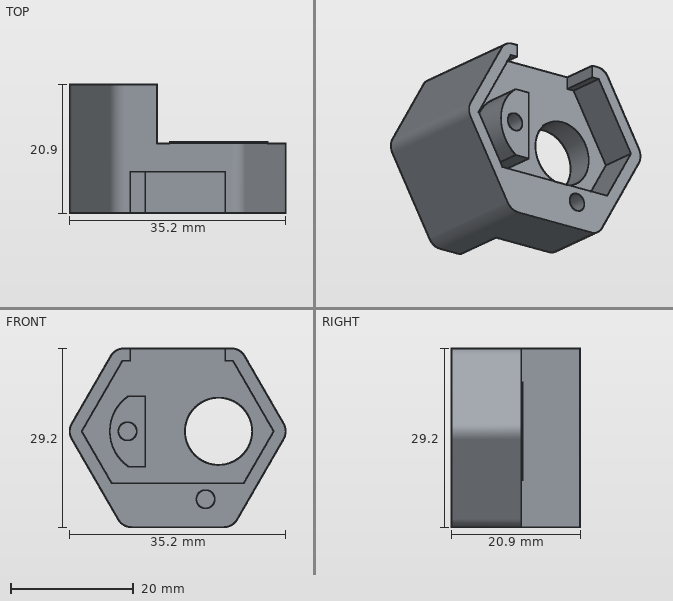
import cadquery as cq
import math

width = 35.2
top_z = 13.52
bottom_z = -15.65
corner_radius = 2.5
slab_depth = 11.37
full_depth = 20.95
tall_block_right_x = -3.35

cavity_depth = 6.73
cavity_half_width = 15.65
cavity_top_z = 11.48
cavity_bottom_z = -8.5
notch_half_width = 7.7

bore_x = 6.65
bore_diameter = 10.9
ring_diameter = 16.0
ring_height = 0.25

pad_left_x = -11.05
pad_right_x = -5.3
pad_half_height = 5.75
pad_arc_end_x = -8.03

screw_diameter = 3.0
screw_depth = 9.85
screw_positions = [(-8.17, 0.0), (4.55, -11.05)]

corner_loss = corner_radius * (1 / math.cos(math.radians(30)) - 1)
outer_half_width = width / 2 + corner_loss


def plane_at(y):
    """XZ sketch plane whose extrusions run toward +Y."""
    return cq.Workplane(cq.Plane((0, y, 0), xDir=(1, 0, 0), normal=(0, -1, 0)))


def hexagon(half_width, low_z, high_z, depth):
    """Prism with 60-degree sides, side corners at z = 0 and flat top and bottom."""
    slope = math.tan(math.radians(60))
    top_half = half_width - high_z / slope
    bottom_half = half_width + low_z / slope
    points = [
        (-half_width, 0),
        (-top_half, high_z),
        (top_half, high_z),
        (half_width, 0),
        (bottom_half, low_z),
        (-bottom_half, low_z),
    ]
    return plane_at(0).polyline(points).close().extrude(-depth)


def box(x_range, y_range, z_range):
    """Box given by its limits along each axis."""
    ranges = (x_range, y_range, z_range)
    sizes = [high - low for low, high in ranges]
    corner = [low for low, high in ranges]
    return cq.Workplane("XY").box(*sizes, centered=False).translate(tuple(corner))


def make_body():
    """Rounded hexagon, full depth on the left and a thinner slab on the right."""
    body = hexagon(outer_half_width, bottom_z, top_z, full_depth)
    body = body.edges("|Y").fillet(corner_radius)
    step = box(
        (tall_block_right_x, outer_half_width),
        (slab_depth, full_depth),
        (bottom_z, top_z),
    )
    return body.cut(step)


def make_cavity():
    """Hexagonal pocket, open through the top wall."""
    pocket = hexagon(cavity_half_width, cavity_bottom_z, cavity_top_z, cavity_depth)
    notch = box(
        (-notch_half_width, notch_half_width),
        (0, cavity_depth),
        (0, top_z),
    )
    return pocket.union(notch)


def make_pad():
    """Pad standing on the cavity floor, with a flat right side and a round left side."""
    return (
        plane_at(0)
        .moveTo(pad_right_x, -pad_half_height)
        .lineTo(pad_right_x, pad_half_height)
        .lineTo(pad_arc_end_x, pad_half_height)
        .threePointArc((pad_left_x, 0), (pad_arc_end_x, -pad_half_height))
        .close()
        .extrude(-cavity_depth)
    )


def make_ring():
    """Thin disc on the back of the slab; the bore turns it into a ring."""
    disc = plane_at(slab_depth).center(bore_x, 0).circle(ring_diameter / 2)
    return disc.extrude(-ring_height)


def make_bore():
    """Round passage through the slab and the ring."""
    bore = plane_at(0).center(bore_x, 0).circle(bore_diameter / 2)
    return bore.extrude(-full_depth)


def make_screw_holes():
    """Blind holes entering from the open face."""
    holes = plane_at(0).pushPoints(screw_positions).circle(screw_diameter / 2)
    return holes.extrude(-screw_depth)


result = make_body().cut(make_cavity()).union(make_pad()).union(make_ring())
result = result.cut(make_bore()).cut(make_screw_holes())